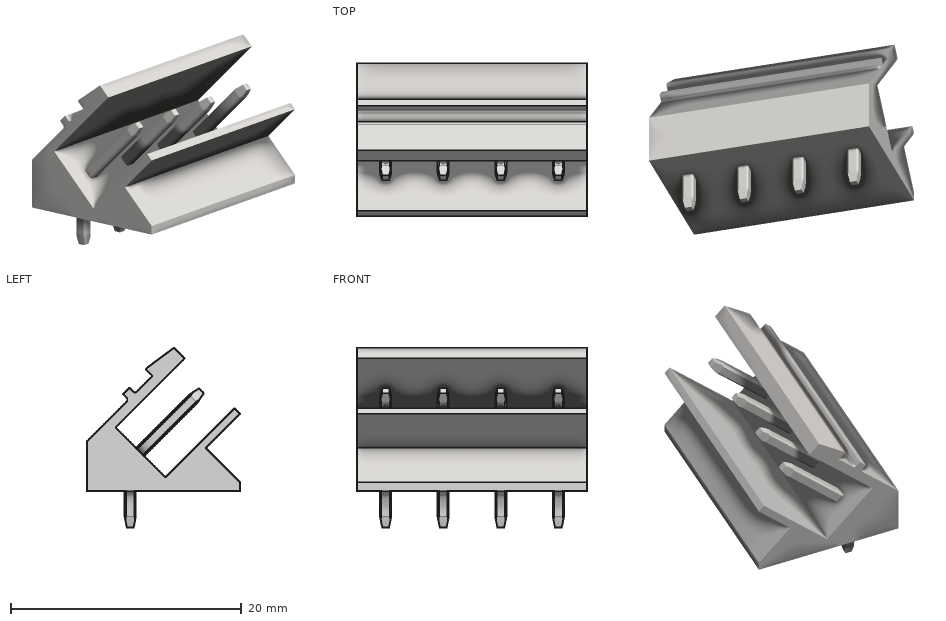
import cadquery as cq
import math


LENGTH = 20.0
DEPTH = 13.3
FOOT_HEIGHT = 0.78

BACK_WALL_OUTER = 4.32
BACK_WALL_INNER = 3.05
FRONT_WALL_INNER = -5.6
RIB_TOP = 5.3
CATCH_HEEL_TOP = 5.48
CATCH_PEAK = 4.9

CHANNEL_FLOOR = 8.02
RIB_LOWER_SIDE = 11.55
RIB_UPPER_SIDE = 12.68
CATCH_HEEL = 15.68
CATCH_RAMP_START = 16.08
WALL_TIPS = 20.02
FOOT_SLOPE = DEPTH + FOOT_HEIGHT
FRONT_WALL_OUTER = WALL_TIPS - 2 * DEPTH

RIB_NECK_DEPTH = 3.5
RIB_ROOT_RADIUS = 0.2

PIN_COUNT = 4
PIN_PITCH = LENGTH / PIN_COUNT
PIN_SIZE = 1.0
PIN_CHAMFER = 0.15
PIN_TIP_SIZE = 0.6
PIN_TIP_LENGTH = 1.0
PIN_DEPTH = 3.75
PIN_TAIL = 3.18
PIN_AXIS = -1.22
PIN_END = 18.65


def crossing(rising, falling):
    """(Y, Z) point where a rising and a falling 45-degree plane meet."""
    return (-(falling - rising) / 2, (falling + rising) / 2)


def make_housing_blank():
    outline = [
        (0, 0),
        (0, BACK_WALL_OUTER),
        (-RIB_NECK_DEPTH, BACK_WALL_OUTER + RIB_NECK_DEPTH),
        (-RIB_NECK_DEPTH, RIB_LOWER_SIDE - RIB_NECK_DEPTH),
        crossing(RIB_TOP, RIB_LOWER_SIDE),
        crossing(RIB_TOP, RIB_UPPER_SIDE),
        crossing(BACK_WALL_OUTER, RIB_UPPER_SIDE),
        crossing(BACK_WALL_OUTER, CATCH_HEEL),
        crossing(CATCH_HEEL_TOP, CATCH_HEEL),
        crossing(CATCH_HEEL_TOP, CATCH_RAMP_START),
        crossing(CATCH_PEAK, WALL_TIPS),
        crossing(BACK_WALL_INNER, WALL_TIPS),
        crossing(BACK_WALL_INNER, CHANNEL_FLOOR),
        crossing(FRONT_WALL_INNER, CHANNEL_FLOOR),
        crossing(FRONT_WALL_INNER, WALL_TIPS),
        crossing(FRONT_WALL_OUTER, WALL_TIPS),
        crossing(FRONT_WALL_OUTER, FOOT_SLOPE),
        (-DEPTH, FOOT_HEIGHT),
        (-DEPTH, 0),
    ]
    blank = cq.Workplane("YZ").polyline(outline).close().extrude(LENGTH / 2, both=True)
    root_y, root_z = crossing(BACK_WALL_OUTER, RIB_UPPER_SIDE)
    rib_root = cq.selectors.NearestToPointSelector((0, root_y, root_z))
    return blank.edges("|X").edges(rib_root).fillet(RIB_ROOT_RADIUS)


def make_pin_bar(plane, length):
    """Square bar with chamfered long edges, along the plane's normal."""
    bar = cq.Workplane(plane).rect(PIN_SIZE, PIN_SIZE).extrude(length)
    return bar.edges(cq.selectors.ParallelDirSelector(plane.zDir)).chamfer(PIN_CHAMFER)


def make_pin_tip(plane):
    """Tapered end of a pin, growing from its shoulder along the plane's normal."""
    taper = math.degrees(math.atan2((PIN_SIZE - PIN_TIP_SIZE) / 2, PIN_TIP_LENGTH))
    point = cq.Workplane(plane).rect(PIN_SIZE, PIN_SIZE).extrude(PIN_TIP_LENGTH, taper=taper)
    return point.intersect(make_pin_bar(plane, PIN_TIP_LENGTH))


def make_pin(x):
    """Pin with an upright leg and a sloping leg, mitred at the bend."""
    slope = math.sqrt(0.5)
    bend = cq.Vector(x, -PIN_DEPTH, PIN_DEPTH + PIN_AXIS)
    down = cq.Vector(0, 0, -1)
    forward_up = cq.Vector(0, -slope, slope)
    end_y, end_z = crossing(PIN_AXIS, PIN_END)
    sloping_length = math.hypot(end_y - bend.y, end_z - bend.z) - PIN_TIP_LENGTH
    upright_length = bend.z + PIN_TAIL - PIN_TIP_LENGTH

    overrun = PIN_SIZE
    mitre = cq.Plane(bend, xDir=(1, 0, 0), normal=forward_up - down)
    half_space = 2 * (PIN_TAIL + PIN_END)
    above_mitre = cq.Workplane(mitre).rect(half_space, half_space).extrude(half_space)

    def make_leg(direction, length):
        start = cq.Plane(bend - direction * overrun, xDir=(1, 0, 0), normal=direction)
        shoulder = cq.Plane(bend + direction * length, xDir=(1, 0, 0), normal=direction)
        return make_pin_bar(start, overrun + length).union(make_pin_tip(shoulder))

    upright_leg = make_leg(down, upright_length).cut(above_mitre)
    sloping_leg = make_leg(forward_up, sloping_length).intersect(above_mitre)
    return upright_leg.union(sloping_leg)


pins = []
for index in range(PIN_COUNT):
    pin_x = (index - (PIN_COUNT - 1) / 2) * PIN_PITCH
    pins.append(make_pin(pin_x))

housing = make_housing_blank()
for pin in pins:
    housing = housing.cut(pin)

result = cq.Compound.makeCompound([housing.solids().val(), *[pin.solids().val() for pin in pins]])